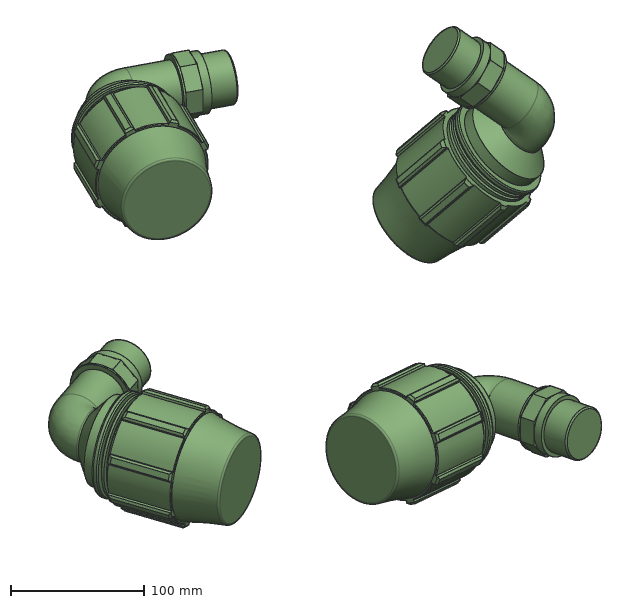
import cadquery as cq
import math


pipe_radius = 21.0
bend_radius = 17.0

flange_start = 52.8
octagon_start = 54.5
ring_start = 68.0
spigot_start = 75.0
branch_end = 97.0
flange_diameter = 50.2
octagon_flats = 48.2
ring_diameter = 48.2
spigot_chamfer = 1.2

cone_start = 18.6
cone_end = 31.1
neck_radius = 72.0 / 2
collar_start = 40.3
collar_end = 45.5
collar_radius = 83.5 / 2
collar_chamfer_length = 1.4
collar_chamfer_depth = 0.7
thread_radius = 81.0 / 2
thread_ring_start = 47.9
thread_ring_end = 49.9
thread_shoulder_start = 52.1

nut_start = 54.8
nut_end = 108.0
nut_radius = 89.1 / 2
nut_chamfer = 0.7
overall_length = 169.2
sleeve_end = overall_length - flange_diameter / 2
sleeve_start_radius = 42.6
sleeve_end_radius = 35.7
sleeve_sag = 0.8
sleeve_rounding = 1.7

rib_count = 8
rib_top_radius = 47.9
rib_root_radius = 43.1
rib_width = 8.0
rib_bevel_height = 1.7
rib_side_bevel = 1.5
rib_front_bevel = 2.9
rib_back_bevel = 1.7


def disc_along_y(diameter, start, end):
    return cq.Workplane("XZ", origin=(0, start, 0)).circle(diameter / 2).extrude(start - end)


def make_elbow():
    """Quarter bend: a pipe section, cut off at the turning axis, revolved by 90 degrees."""
    half_chord = math.sqrt(pipe_radius**2 - bend_radius**2)
    section = (
        cq.Workplane("XZ", origin=(0, bend_radius, 0))
        .moveTo(bend_radius, -half_chord)
        .threePointArc((-pipe_radius, 0), (bend_radius, half_chord))
        .close()
    )
    return section.revolve(90, (bend_radius, 0, 0), (bend_radius, 1, 0))


def make_branch():
    """Straight pipe from the elbow to the spigot, with its flange, octagon and ring."""
    pipe = disc_along_y(2 * pipe_radius, bend_radius, branch_end)
    pipe = pipe.faces(">Y").chamfer(spigot_chamfer)
    flange = disc_along_y(flange_diameter, flange_start, octagon_start)
    octagon_length = ring_start - octagon_start
    square = cq.Workplane("XY").box(octagon_flats, octagon_length, octagon_flats)
    octagon = square.intersect(square.rotate((0, 0, 0), (0, 1, 0), 45))
    octagon = octagon.translate((0, octagon_start + octagon_length / 2, 0))
    ring = disc_along_y(ring_diameter, ring_start, spigot_start)
    return pipe.union(flange).union(octagon).union(ring)


def make_body():
    """Turned profile of the coupling body, nut and sleeve around the X axis."""
    sleeve_middle = (
        (nut_end + sleeve_end) / 2,
        (sleeve_start_radius + sleeve_end_radius) / 2 - sleeve_sag,
    )
    profile = (
        cq.Workplane("XY")
        .moveTo(bend_radius, 0)
        .lineTo(bend_radius, pipe_radius)
        .lineTo(cone_start, pipe_radius)
        .lineTo(cone_end, neck_radius)
        .lineTo(collar_start, neck_radius)
        .lineTo(collar_start, collar_radius - collar_chamfer_depth)
        .lineTo(collar_start + collar_chamfer_length, collar_radius)
        .lineTo(collar_end - collar_chamfer_length, collar_radius)
        .lineTo(collar_end, collar_radius - collar_chamfer_depth)
        .lineTo(collar_end, neck_radius)
        .lineTo(thread_ring_start, neck_radius)
        .lineTo(thread_ring_start, thread_radius)
        .lineTo(thread_ring_end, thread_radius)
        .lineTo(thread_ring_end, neck_radius)
        .lineTo(thread_shoulder_start, neck_radius)
        .lineTo(thread_shoulder_start, thread_radius)
        .lineTo(nut_start, thread_radius)
        .lineTo(nut_start, nut_radius)
        .lineTo(nut_end - nut_chamfer, nut_radius)
        .lineTo(nut_end, nut_radius - nut_chamfer)
        .lineTo(nut_end, sleeve_start_radius)
        .threePointArc(sleeve_middle, (sleeve_end, sleeve_end_radius))
        .lineTo(sleeve_end, 0)
        .close()
    )
    body = profile.revolve(360, (0, 0, 0), (1, 0, 0))
    return body.faces(">X").edges().fillet(sleeve_rounding)


def make_rib():
    """One grip rib on top of the nut, bevelled along its sides and ends."""
    half_width = rib_width / 2
    bevel_radius = rib_top_radius - rib_bevel_height
    cross_section = (
        cq.Workplane("YZ", origin=(nut_start, 0, 0))
        .moveTo(-half_width, rib_root_radius)
        .lineTo(-half_width, bevel_radius)
        .lineTo(-half_width + rib_side_bevel, rib_top_radius)
        .lineTo(half_width - rib_side_bevel, rib_top_radius)
        .lineTo(half_width, bevel_radius)
        .lineTo(half_width, rib_root_radius)
        .close()
        .extrude(nut_end - nut_start)
    )
    side_outline = (
        cq.Workplane("XZ")
        .moveTo(nut_start, rib_root_radius)
        .lineTo(nut_start, bevel_radius)
        .lineTo(nut_start + rib_front_bevel, rib_top_radius)
        .lineTo(nut_end - rib_back_bevel, rib_top_radius)
        .lineTo(nut_end, bevel_radius)
        .lineTo(nut_end, rib_root_radius)
        .close()
        .extrude(rib_width, both=True)
    )
    return cross_section.intersect(side_outline)


result = make_elbow().union(make_branch()).union(make_body())
rib = make_rib()
rib_pitch = 360 / rib_count
first_rib_angle = rib_pitch / 2
for index in range(rib_count):
    rib_angle = first_rib_angle + index * rib_pitch
    result = result.union(rib.rotate((0, 0, 0), (1, 0, 0), rib_angle))